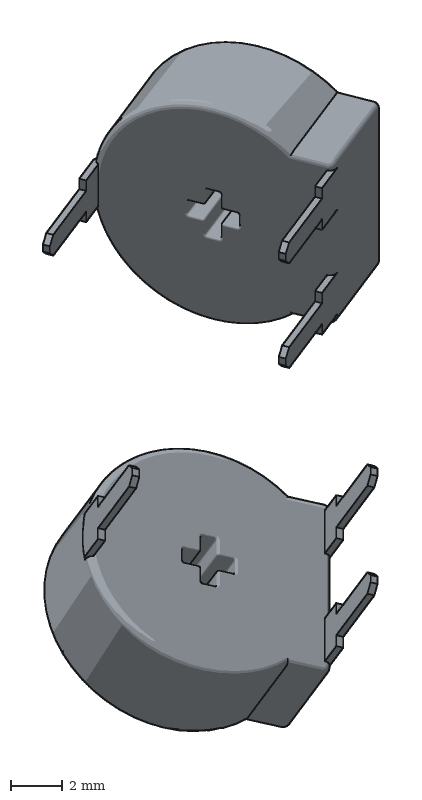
import cadquery as cq

overall_size = 10.3
body_radius = overall_size / 2
body_depth = 4.6
block_height = 7.81
edge_round = 0.3

cross_span = 2.22
cross_arm_width = 0.68
cross_edge_round = 0.1

pin_thickness = 0.3
pin_reach = 4.7
stub_width = 2.0
stub_reach = 1.17
stub_overlap = 0.4
leg_width = stub_width / 2
tip_bevel = 0.33
side_pin_offset = 2.5
stub_end_slope = 28.0


def front_plane(y):
    """Sketch plane at the given Y: local x is +X, local y is +Z, normal is -Y."""
    return cq.Workplane("XZ", origin=(0, y, 0))


def make_body():
    housing = front_plane(0).circle(body_radius).extrude(-body_depth)
    block = (
        front_plane(0)
        .center(body_radius / 2, 0)
        .rect(body_radius, block_height)
        .extrude(-body_depth)
        .edges("|Y and >X")
        .fillet(edge_round)
    )
    return housing.union(block).faces("<Y or >Y").edges().fillet(edge_round)


def make_cross_bar(width, height):
    return front_plane(0).rect(width, height).extrude(-body_depth)


def cut_shaft_hole(body):
    """Cut the cross through the body, then round its corners and its -Y mouth together."""
    bar_along_x = make_cross_bar(cross_span, cross_arm_width)
    bar_along_z = make_cross_bar(cross_arm_width, cross_span)
    cross = bar_along_x.union(bar_along_z)
    corners_and_mouth = body.cut(cross).edges(
        cq.selectors.BoxSelector(
            (-cross_span, -cross_edge_round, -cross_span),
            (cross_span, body_depth - cross_edge_round, cross_span),
        )
    )
    return corners_and_mouth.fillet(cross_edge_round)


def make_pin(x_start, z_center):
    """Flat pin in a YZ plane, running toward -Y from inside the body."""
    stub = (
        cq.Workplane("YZ", origin=(x_start, 0, z_center))
        .center((stub_overlap - stub_reach) / 2, 0)
        .rect(stub_overlap + stub_reach, stub_width)
        .extrude(pin_thickness)
    )
    leg = (
        cq.Workplane("YZ", origin=(x_start, 0, z_center))
        .center(-pin_reach / 2, 0)
        .rect(pin_reach, leg_width)
        .extrude(pin_thickness)
        .edges("|X and <Y")
        .chamfer(tip_bevel)
    )
    return stub.union(leg)


def bevel_stub_end(pin):
    """Slope the end of the pin's outer face down to the round side of the body."""
    flare = (
        front_plane(stub_overlap)
        .circle(body_radius)
        .extrude(stub_overlap + pin_reach, taper=-stub_end_slope)
    )
    return pin.intersect(flare)


result = cut_shaft_hole(make_body())

left_pin_start = -body_radius
right_pin_start = body_radius - pin_thickness
result = result.union(bevel_stub_end(make_pin(left_pin_start, 0)))
for z_center in (-side_pin_offset, side_pin_offset):
    result = result.union(make_pin(right_pin_start, z_center))